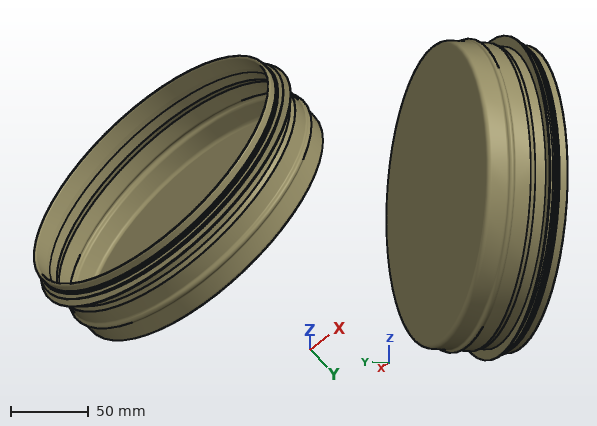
import cadquery as cq
import math


sheet = 0.5
cap_length = 55.0
cap_radius = 198.9 / 2
corner_radius = 3.0

bead_center = 38.7
bead_rise = 1.9
crest_radius = 2.0
bead_root_radius = 1.5

neck_bore_radius = 193.9 / 2
neck_radius = neck_bore_radius + sheet
shoulder_radius = 98.0
shoulder_start = 25.5
shoulder_end = 22.0
neck_end = 10.9

hem_length = 5.9
hem_bore_radius = cap_radius - sheet
fold_radius = (cap_radius - neck_bore_radius) / 2
fold_center = (cap_radius + neck_bore_radius) / 2
fold_bore = fold_radius - sheet

gasket_radius = 198.0 / 2
main_lip_radius = 209.4 / 2
main_lip_top = 14.9
main_lip_bottom = 12.8
second_lip_radius = 204.3 / 2
second_lip_top = 10.5
second_lip_bottom = 8.8
tip_thickness = 0.8
small_lip_radius = 99.9
small_lip_top = 7.7
small_lip_bottom = 7.1


def revolve_about_y(profile):
    """Close a radius-height profile and turn it into a solid of revolution."""
    return profile.close().revolve(360, (0, 0, 0), (0, 1, 0))


def add_bead(profile, inset, direction):
    """Trace the bead on a wall surface lying inset inside the outer one.

    direction is +1 when tracing away from the rim and -1 towards it.
    """
    crest = crest_radius - inset
    root = bead_root_radius + inset
    crest_r = cap_radius + bead_rise - crest_radius
    root_r = cap_radius + bead_root_radius
    angle = math.acos((root_r - crest_r) / (crest_radius + bead_root_radius))
    half_length = (crest_radius + bead_root_radius) * math.sin(angle)

    def crest_point(side, turn):
        return crest_r + crest * math.cos(turn), bead_center + side * crest * math.sin(turn)

    def root_point(side, turn):
        return (root_r - root * math.cos(turn),
                bead_center + side * (half_length - root * math.sin(turn)))

    first, last = -direction, direction
    return (
        profile.lineTo(*root_point(first, 0))
        .threePointArc(root_point(first, angle / 2), crest_point(first, angle))
        .threePointArc(crest_point(first, 0), crest_point(last, angle))
        .threePointArc(root_point(last, angle / 2), root_point(last, 0))
    )


def make_cap():
    """Closed cap of constant sheet thickness with bead, neck and folded rim."""
    corner_r = cap_radius - corner_radius
    corner_y = cap_length - corner_radius
    inner_corner = corner_radius - sheet
    diagonal = math.sqrt(0.5)

    profile = (
        cq.Workplane("XY")
        .moveTo(cap_radius, hem_length)
        .lineTo(hem_bore_radius, hem_length)
        .lineTo(hem_bore_radius, fold_radius)
        .threePointArc((fold_center, fold_radius - fold_bore), (neck_radius, fold_radius))
        .lineTo(neck_radius, neck_end)
        .lineTo(shoulder_radius, shoulder_end)
        .lineTo(cap_radius, shoulder_start)
    )
    profile = (
        add_bead(profile, 0, 1)
        .lineTo(cap_radius, corner_y)
        .threePointArc(
            (corner_r + corner_radius * diagonal, corner_y + corner_radius * diagonal),
            (corner_r, cap_length),
        )
        .lineTo(0, cap_length)
    )
    profile = (
        profile.lineTo(0, cap_length - sheet)
        .lineTo(corner_r, cap_length - sheet)
        .threePointArc(
            (corner_r + inner_corner * diagonal, corner_y + inner_corner * diagonal),
            (cap_radius - sheet, corner_y),
        )
    )
    profile = (
        add_bead(profile, sheet, -1)
        .lineTo(cap_radius - sheet, shoulder_start)
        .lineTo(shoulder_radius - sheet, shoulder_end)
        .lineTo(neck_bore_radius, neck_end)
        .lineTo(neck_bore_radius, fold_radius)
        .threePointArc((fold_center, 0), (cap_radius, fold_radius))
    )
    return revolve_about_y(profile)


def add_lip(profile, tip_radius, bottom, top):
    """Trace one tapered sealing lip, from its underside to its top."""
    return (
        profile.lineTo(gasket_radius, bottom)
        .lineTo(tip_radius, top - tip_thickness)
        .lineTo(tip_radius, top)
    )


def make_gasket():
    """Sealing ring whose foot fills the fold and whose bore follows the neck."""
    neck_taper = (shoulder_radius - neck_radius) / (shoulder_end - neck_end)
    bore_at_top = neck_radius + neck_taper * (main_lip_top - neck_end)

    profile = (
        cq.Workplane("XY")
        .moveTo(neck_radius, fold_radius)
        .threePointArc((fold_center, fold_radius - fold_bore), (hem_bore_radius, fold_radius))
        .lineTo(hem_bore_radius, hem_length)
        .lineTo(gasket_radius, hem_length)
        .lineTo(gasket_radius, small_lip_bottom)
        .lineTo(small_lip_radius, small_lip_bottom)
        .lineTo(small_lip_radius, small_lip_top)
        .lineTo(gasket_radius, small_lip_top)
    )
    profile = add_lip(profile, second_lip_radius, second_lip_bottom, second_lip_top)
    profile = profile.lineTo(gasket_radius, second_lip_top)
    profile = add_lip(profile, main_lip_radius, main_lip_bottom, main_lip_top)
    profile = profile.lineTo(bore_at_top, main_lip_top).lineTo(neck_radius, neck_end)
    return revolve_about_y(profile)


cap = make_cap()
gasket = make_gasket()

result = cq.Compound.makeCompound([cap.val(), gasket.val()])